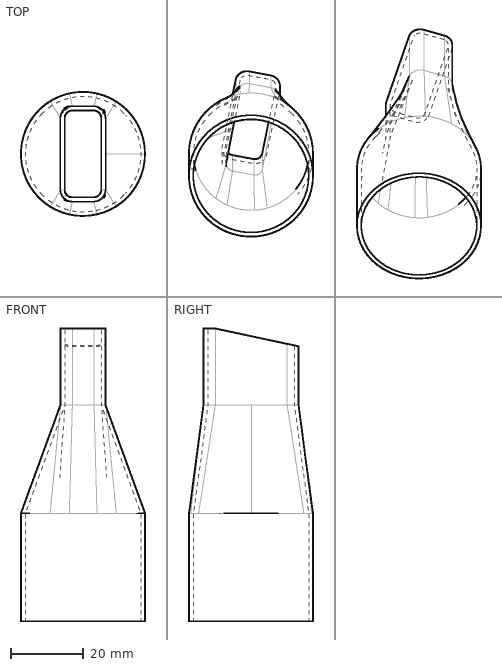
import cadquery as cq

wall = 1.2
base_diameter = 34.4
base_height = 30.05
neck_height = 60.0
total_height = 81.2
nozzle_width = 12.5
nozzle_depth = 26.4
corner_radius = 3.25
tip_drop = 4.95


def rounded_rectangle(inset):
    """Nozzle section, offset inward by the given inset."""
    return (
        cq.Sketch()
        .rect(nozzle_width - 2 * inset, nozzle_depth - 2 * inset)
        .vertices()
        .fillet(corner_radius - inset)
    )


def adapter_body(inset):
    """Round base, round-to-rectangular transition and straight nozzle as one solid."""
    circle = cq.Sketch().circle(base_diameter / 2 - inset)
    rectangle = rounded_rectangle(inset)
    base = cq.Workplane("XY").placeSketch(circle).extrude(base_height)
    transition = (
        cq.Workplane("XY")
        .placeSketch(
            circle.moved(cq.Location(cq.Vector(0, 0, base_height))),
            rectangle.moved(cq.Location(cq.Vector(0, 0, neck_height))),
        )
        .loft(ruled=True)
    )
    nozzle = (
        cq.Workplane("XY", origin=(0, 0, neck_height))
        .placeSketch(rectangle)
        .extrude(total_height - neck_height)
    )
    return base.union(transition).union(nozzle)


def tip_cutter():
    """Wedge that slopes the tip from the -Y corner tangent down to the +Y end."""
    slope_start = -nozzle_depth / 2 + corner_radius
    slope_end = nozzle_depth / 2
    return (
        cq.Workplane("YZ")
        .moveTo(slope_start, total_height)
        .lineTo(slope_end, total_height - tip_drop)
        .lineTo(slope_end, total_height)
        .close()
        .extrude(nozzle_width / 2, both=True)
    )


result = adapter_body(0).cut(adapter_body(wall)).cut(tip_cutter())